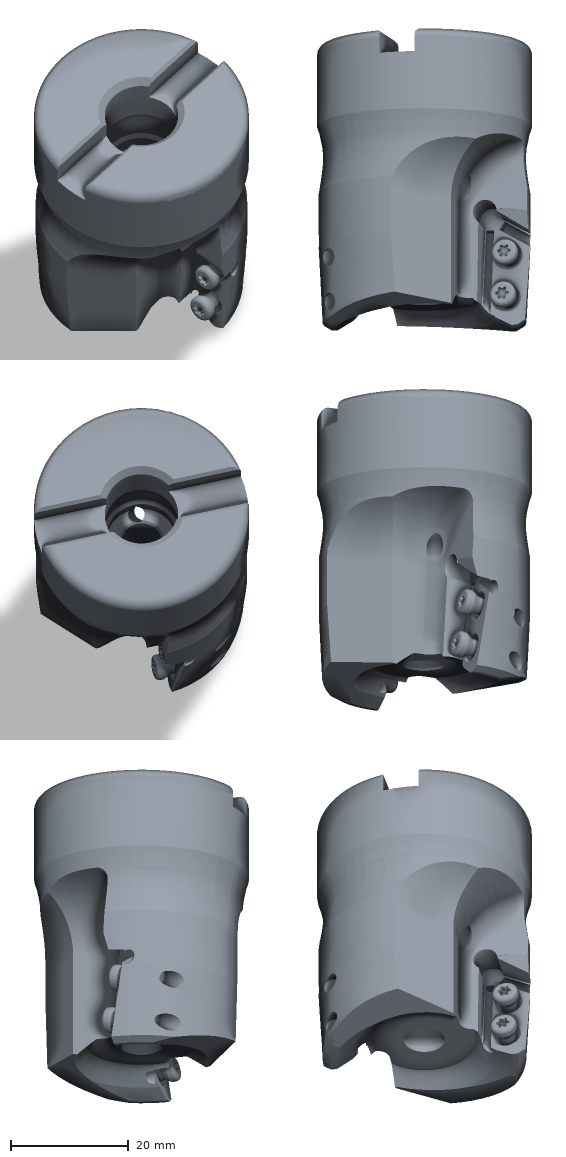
import cadquery as cq
import math


height = 48.7
flange_radius = 18.29
flange_bottom = 34.66
top_round = 1.6
waist_radius, waist_z = 17.26, 29.6
neck_radius, neck_z = 17.45, 26.7
shoulder_radius, shoulder_z = 17.85, 24.0
cutter_radius, cutter_top = 18.0, 23.2
taper_top = 13.6
nose_radius, nose_z = 17.35, 0.85
tip_radius = 16.0

clearance = 1.0

slot_width = 6.2
slot_depth = 4.14
slot_chamfer = 0.55
bore_radius = 6.25
bore_depth = 18.0
bore_chamfer = 1.1
bore_relief_radius = 6.6
bore_relief_top, bore_relief_bottom = 9.15, 15.0
lower_bore_radius = 6.0
bolt_hole_radius = 3.5
bolt_hole_chamfer = 0.4

recess_rim_radius = 15.0
recess_break_radius, recess_break_z = 12.2, 1.5
recess_roof_radius, recess_roof_z = 8.9, 4.5
relief_rise_x = 0.088
relief_rise_y = -0.211
relief_base_z = -0.38

flute_reach = 40.0
flank_distance = 11.95
flank_runout_radius = 11.9
flank_runout_z = 20.0
flank_fall = 0.12
gullet_x = 6.8
gullet_runout_radius = 11.6
gullet_runout_z = 19.9
gullet_fillet = 2.2
seat_y = -2.05
seat_lean = 0.058
seat_yaw = 0.06

floor_y = 1.25
floor_lean = 0.163
pocket_reach = 8.0
end_overrun = 5.0
pocket_wall_x = 9.6
end_wall_start = (12.5, 19.3)
end_wall_finish = (19.5, 15.2)
corner_relief_at = (10.7, 19.0)
corner_relief_radius = 2.07
side_groove_x, side_groove_radius, side_groove_sink = 10.5, 0.95, 0.65
side_groove_top = 17.2
end_groove_radius, end_groove_sink, end_groove_inset = 1.1, 0.7, 1.3
ramp_start_x, ramp_top_z, ramp_bottom_z, ramp_drop = 12.8, 20.0, 14.6, 1.6

duct_radius = 1.4
duct_entry = (5.0, -0.2, height - bore_depth)
duct_exit = (8.2, -2.2, 22.0)
duct_overrun = 2.0

screw_x = 13.87
screw_stations = (4.8, 12.4)
shank_radius = 1.45
shank_length = 6.3
head_top = 3.05
head_face_radius = 1.65
head_radius = 2.2
head_round_bottom = 2.3
head_cone_top = 1.7
head_cone_bottom = 0.4
countersink_radius, countersink_depth = 2.55, 1.1
screw_hole_length = 20.0
socket_core_radius, socket_lobe_radius, socket_lobe_pitch = 0.85, 0.3, 0.88
socket_depth = 0.9
socket_lobes = 6

seat_plane = cq.Plane(origin=(0, seat_y, 0), xDir=(1, seat_yaw, 0), normal=(seat_yaw, -1, seat_lean))
floor_plane = cq.Plane(origin=(0, floor_y, 0), xDir=(1, 0, 0), normal=(0, -1, floor_lean))


def on_both_flutes(shape):
    """The shape and its copy half a turn round the tool axis."""
    return [shape.rotate((0, 0, 0), (0, 0, 1), turn) for turn in (0, 180)]


def turned_body():
    slant = top_round * math.sqrt(0.5)
    return (
        cq.Workplane("XZ")
        .moveTo(0, 0)
        .lineTo(tip_radius, 0)
        .lineTo(nose_radius, nose_z)
        .lineTo(cutter_radius, taper_top)
        .lineTo(cutter_radius, cutter_top)
        .lineTo(shoulder_radius, shoulder_z)
        .lineTo(neck_radius, neck_z)
        .threePointArc((waist_radius, waist_z), (flange_radius, flange_bottom))
        .lineTo(flange_radius, height - top_round)
        .threePointArc(
            (flange_radius - top_round + slant, height - top_round + slant),
            (flange_radius - top_round, height),
        )
        .lineTo(0, height)
        .close()
        .revolve(360, (0, 0, 0), (0, 1, 0))
    )


def drive_slot():
    half = slot_width / 2
    side = [(half, height - slot_depth), (half, height - slot_chamfer), (half + slot_chamfer, height)]
    outline = side + [(-x, z) for x, z in reversed(side)]
    return cq.Workplane("XZ").polyline(outline).close().extrude(flange_radius + clearance, both=True)


def mounting_bore():
    floor = height - bore_depth
    upper_step = bore_relief_radius - bore_radius
    lower_step = bore_relief_radius - lower_bore_radius
    outline = [
        (0, 0),
        (bolt_hole_radius, 0),
        (bolt_hole_radius, floor - bolt_hole_chamfer),
        (bolt_hole_radius + bolt_hole_chamfer, floor),
        (lower_bore_radius, floor),
        (lower_bore_radius, height - bore_relief_bottom - lower_step),
        (bore_relief_radius, height - bore_relief_bottom),
        (bore_relief_radius, height - bore_relief_top - upper_step),
        (bore_radius, height - bore_relief_top),
        (bore_radius, height - bore_chamfer),
        (bore_radius + bore_chamfer, height),
        (0, height),
    ]
    return cq.Workplane("XZ").polyline(outline).close().revolve(360, (0, 0, 0), (0, 1, 0))


def end_recess():
    outline = [
        (0, 0),
        (recess_rim_radius, 0),
        (recess_break_radius, recess_break_z),
        (recess_roof_radius, recess_roof_z),
        (0, recess_roof_z),
    ]
    return cq.Workplane("XZ").polyline(outline).close().revolve(360, (0, 0, 0), (0, 1, 0))


def end_relief():
    """Everything below the sloping end face, on the side of the axis with negative Y."""
    end_plane = cq.Plane(
        origin=(0, 0, relief_base_z), xDir=(1, 0, relief_rise_x), normal=(-relief_rise_x, -relief_rise_y, 1)
    )
    below = cq.Workplane(end_plane).rect(2 * flute_reach, 2 * flute_reach).extrude(-flute_reach)
    front_half = cq.Workplane("XZ").rect(2 * flute_reach, 2 * flute_reach).extrude(flute_reach)
    return below.intersect(front_half)


def runout_prism(plane, wall, start_z, radius):
    """Cut beyond a wall that curves outwards, a quarter circle high, above start_z."""
    slant = radius * math.sqrt(0.5)
    return (
        cq.Workplane(plane)
        .moveTo(wall, -flute_reach)
        .lineTo(wall, start_z)
        .threePointArc((wall + radius - slant, start_z + slant), (wall + radius, start_z + radius))
        .lineTo(wall + flute_reach, start_z + radius)
        .lineTo(wall + flute_reach, -flute_reach)
        .close()
    )


def chip_flute():
    flank_plane = cq.Plane(origin=(0, 0, 0), xDir=(1, -1, 0), normal=(-1, -1, flank_fall))
    flank = runout_prism(flank_plane, flank_distance, flank_runout_z, flank_runout_radius)
    flank = flank.extrude(flute_reach, both=True)
    ahead_of_seat = cq.Workplane(seat_plane).rect(4 * flute_reach, 4 * flute_reach).extrude(flute_reach)
    gullet = runout_prism(seat_plane, gullet_x, gullet_runout_z, gullet_runout_radius).extrude(flute_reach)
    seat_face = gullet.faces(cq.selectors.DirectionMinMaxSelector(-seat_plane.zDir, True))
    inner_corner = (0, -flute_reach, -flute_reach)
    outer_corner = (cutter_radius, flute_reach, flute_reach)
    root_edges = seat_face.edges(cq.selectors.BoxSelector(inner_corner, outer_corner))
    gullet = gullet.newObject(root_edges.vals()).fillet(gullet_fillet)
    return gullet, flank.intersect(ahead_of_seat)


def insert_pocket():
    return (
        cq.Workplane(floor_plane)
        .moveTo(pocket_wall_x, -end_overrun)
        .lineTo(pocket_wall_x, end_wall_start[1])
        .lineTo(*end_wall_start)
        .lineTo(*end_wall_finish)
        .lineTo(end_wall_finish[0], -end_overrun)
        .close()
        .extrude(pocket_reach)
    )


def corner_relief():
    corner = cq.Workplane(floor_plane).center(*corner_relief_at)
    return corner.circle(corner_relief_radius).extrude(pocket_reach)


def rod(start, finish, radius):
    axis = cq.Vector(*finish) - cq.Vector(*start)
    return cq.Workplane(cq.Solid.makeCylinder(radius, axis.Length, cq.Vector(*start), axis))


def side_groove():
    low = floor_plane.toWorldCoords((side_groove_x, -end_overrun, -side_groove_sink))
    high = floor_plane.toWorldCoords((side_groove_x, side_groove_top, -side_groove_sink))
    return rod(low.toTuple(), high.toTuple(), side_groove_radius)


def end_groove():
    ends = [
        floor_plane.toWorldCoords((x, v - end_groove_inset, -end_groove_sink)).toTuple()
        for x, v in (end_wall_start, end_wall_finish)
    ]
    return rod(*ends, end_groove_radius)


def seat_ramp():
    slope_foot = (ramp_drop, ramp_bottom_z)
    outline = [(0, ramp_top_z), slope_foot, (-pocket_reach, ramp_bottom_z), (-pocket_reach, ramp_top_z)]
    length = cutter_radius + clearance - ramp_start_x
    return cq.Workplane("YZ", origin=(ramp_start_x, 0, 0)).polyline(outline).close().extrude(length)


def coolant_duct():
    entry = cq.Vector(*duct_entry)
    leave = cq.Vector(*duct_exit)
    overrun = (leave - entry).normalized() * duct_overrun
    return rod((entry - overrun).toTuple(), (leave + overrun).toTuple(), duct_radius)


def on_screw_axis(station):
    """Plane whose X is radial and whose Y runs outwards along the screw axis."""
    base = floor_plane.toWorldCoords((screw_x, station, 0))
    return cq.Plane(origin=base.toTuple(), xDir=(1, 0, 0), normal=-floor_plane.yDir)


def screw_hole(station):
    outline = [
        (0, 0),
        (countersink_radius, 0),
        (shank_radius, -countersink_depth),
        (shank_radius, -screw_hole_length),
        (0, -screw_hole_length),
    ]
    return cq.Workplane(on_screw_axis(station)).polyline(outline).close().revolve(360, (0, 0, 0), (0, 1, 0))


def clamp_screw(station):
    mid = math.sqrt(0.5)
    arc_width = head_radius - head_face_radius
    arc_rise = head_top - head_round_bottom
    screw = (
        cq.Workplane(on_screw_axis(station))
        .moveTo(0, -shank_length)
        .lineTo(shank_radius, -shank_length)
        .lineTo(shank_radius, head_cone_bottom)
        .lineTo(head_radius, head_cone_top)
        .lineTo(head_radius, head_round_bottom)
        .threePointArc(
            (head_face_radius + arc_width * mid, head_round_bottom + arc_rise * mid),
            (head_face_radius, head_top),
        )
        .lineTo(0, head_top)
        .close()
        .revolve(360, (0, 0, 0), (0, 1, 0))
    )
    face = cq.Workplane(floor_plane).center(screw_x, station).workplane(offset=head_top)
    core = face.circle(socket_core_radius).extrude(-socket_depth)
    lobe_centres = face.polarArray(socket_lobe_pitch, 0, 360, socket_lobes)
    lobes = lobe_centres.circle(socket_lobe_radius).extrude(-socket_depth)
    return screw.cut(core).cut(lobes)


flute_cuts = [
    end_relief(),
    *chip_flute(),
    insert_pocket(),
    corner_relief(),
    side_groove(),
    end_groove(),
    seat_ramp(),
    coolant_duct(),
    *[screw_hole(station) for station in screw_stations],
]

cutter_body = turned_body().cut(drive_slot()).cut(mounting_bore()).cut(end_recess())
for flute_cut in flute_cuts:
    for placed_cut in on_both_flutes(flute_cut):
        cutter_body = cutter_body.cut(placed_cut)

clamp_screws = []
for station in screw_stations:
    clamp_screws += on_both_flutes(clamp_screw(station))

result = cq.Compound.makeCompound([cutter_body.val(), *[screw.val() for screw in clamp_screws]])